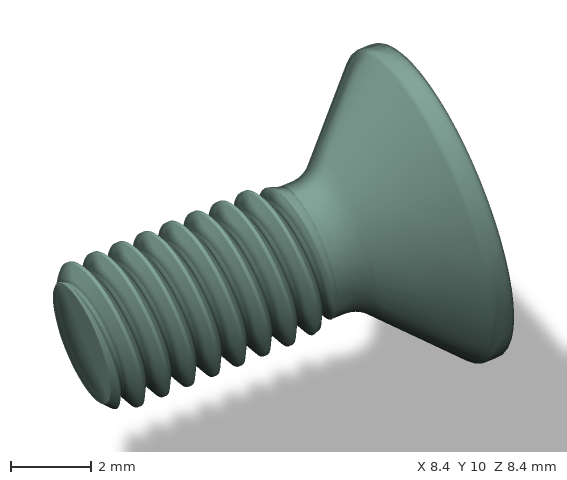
import cadquery as cq
import math

length = 10.0
head_radius = 4.2
rim_round = 0.2
rim_height = 0.66
neck_round = 1.0
neck_radius = 1.77
thread_length = 6.25

pitch = 0.7
major_radius = 2.0
root_radius = 1.59
crest_width = 0.09
root_width = 0.11
overcut = 0.03
crest_offset = 0.01
start_radius = 1.76
start_taper = 0.75
tip_radius = 1.62
seam_angle = 37
tip_chamfer = major_radius - tip_radius

sine_45 = math.sin(math.radians(45))
arc_half_angle = math.radians(22.5)


def round_run(radius):
    """Axial length of an arc turning through 45 degrees."""
    return radius * sine_45


def round_drop(radius):
    """Radial width of an arc turning through 45 degrees."""
    return radius * (1 - sine_45)


def arc_middle_run(radius):
    """Axial distance from the vertical tangent to the middle of a 45 degree arc."""
    return radius * math.sin(arc_half_angle)


def arc_middle_drop(radius):
    """Radial distance from the vertical tangent to the middle of a 45 degree arc."""
    return radius * (1 - math.cos(arc_half_angle))


def make_head():
    cone_top_radius = head_radius - round_drop(rim_round)
    cone_top = length - rim_height
    rim_bottom = cone_top + round_run(rim_round)
    cone_end_radius = neck_radius + round_drop(neck_round)
    cone_end = cone_top - (cone_top_radius - cone_end_radius)
    neck_top = cone_end - round_run(neck_round)
    profile = (
        cq.Workplane("XZ")
        .moveTo(0, thread_length)
        .lineTo(neck_radius, thread_length)
        .lineTo(neck_radius, neck_top)
        .threePointArc(
            (neck_radius + arc_middle_drop(neck_round), neck_top + arc_middle_run(neck_round)),
            (cone_end_radius, cone_end),
        )
        .lineTo(cone_top_radius, cone_top)
        .threePointArc(
            (head_radius - arc_middle_drop(rim_round), rim_bottom - arc_middle_run(rim_round)),
            (head_radius, rim_bottom),
        )
        .lineTo(head_radius, length - rim_round)
        .threePointArc(
            (head_radius - round_drop(rim_round), length - round_drop(rim_round)),
            (head_radius - rim_round, length),
        )
        .lineTo(0, length)
        .close()
    )
    return profile.revolve(360, (0, 0, 0), (0, 1, 0))


def make_groove_turn(start):
    """One right-handed turn of the thread groove, centred at height start on the +X side."""
    half_root = root_width / 2
    half_mouth = (pitch - crest_width) / 2
    flank_slope = (half_mouth - half_root) / (major_radius - root_radius)
    outer_radius = major_radius + overcut
    half_outer = half_mouth + overcut * flank_slope
    path = cq.Wire.makeHelix(pitch, pitch, root_radius).translate(cq.Vector(0, 0, start))
    section = cq.Workplane("XZ").polyline([
        (root_radius, start - half_root),
        (outer_radius, start - half_outer),
        (outer_radius, start + half_outer),
        (root_radius, start + half_root),
    ]).close()
    return section.sweep(cq.Workplane(path), isFrenet=True)


def make_thread_blank():
    """Rod for the thread, with tip chamfer and run-out taper at the neck."""
    profile = cq.Workplane("XZ").polyline([
        (0, 0),
        (tip_radius, 0),
        (major_radius, tip_chamfer),
        (major_radius, thread_length - start_taper),
        (start_radius, thread_length),
        (0, thread_length),
    ]).close()
    return profile.revolve(360, (0, 0, 0), (0, 1, 0))


def make_thread():
    thread = make_thread_blank().rotate((0, 0, 0), (0, 0, 1), seam_angle)
    first_start = crest_offset - 1.5 * pitch
    turn_count = math.ceil(thread_length / pitch) + 2
    for turn in range(turn_count):
        thread = thread.cut(make_groove_turn(first_start + turn * pitch))
    return thread


screw = make_head().union(make_thread())
result = screw.rotate((0, 0, 0), (1, 0, 0), -90)